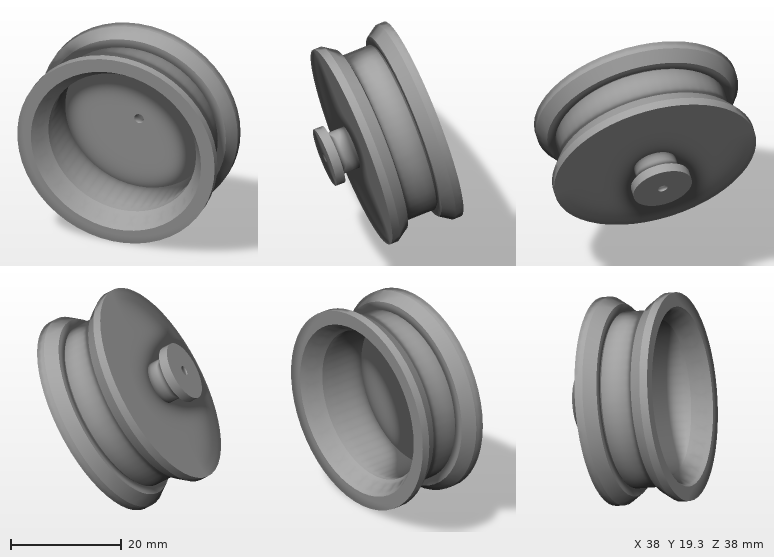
import cadquery as cq

wheel_radius = 19.0
wheel_width = 14.02
rim_width = 1.52
flange_width = 3.72
bevel_radius = 17.5

drum_radius = 16.07
relief_radius = 15.65
relief_width = 0.38

mouth_radius = 16.38
bore_radius = 14.2
mouth_depth = 3.42
floor_thickness = rim_width

overall_length = 19.3
stem_radius = 4.0
head_radius = 5.5
head_thickness = 1.75
axle_hole_radius = 0.9

floor_y = wheel_width - floor_thickness
head_y = overall_length - head_thickness
back_flange_y = wheel_width - flange_width

half_section = [
    (axle_hole_radius, floor_y),
    (bore_radius, floor_y),
    (bore_radius, mouth_depth),
    (mouth_radius, 0),
    (wheel_radius, 0),
    (wheel_radius, rim_width),
    (bevel_radius, flange_width),
    (relief_radius, flange_width),
    (relief_radius, flange_width + relief_width),
    (drum_radius, flange_width + relief_width),
    (drum_radius, back_flange_y - relief_width),
    (relief_radius, back_flange_y - relief_width),
    (relief_radius, back_flange_y),
    (bevel_radius, back_flange_y),
    (wheel_radius, wheel_width - rim_width),
    (wheel_radius, wheel_width),
    (stem_radius, wheel_width),
    (stem_radius, head_y),
    (head_radius, head_y),
    (head_radius, overall_length),
    (axle_hole_radius, overall_length),
]

result = (
    cq.Workplane("XY")
    .polyline(half_section)
    .close()
    .revolve(360, (0, 0, 0), (0, 1, 0))
)